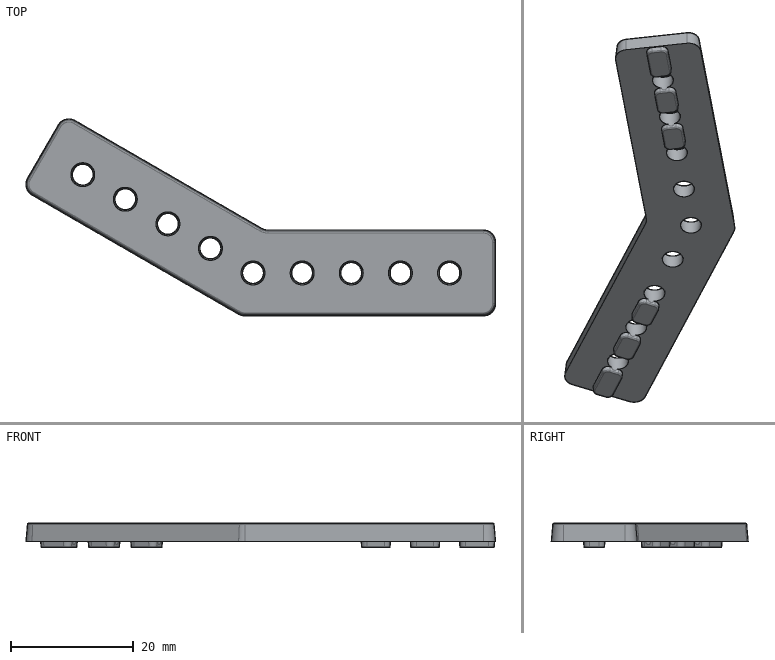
import cadquery as cq
import math

hole_pitch = 8.0
holes_per_arm = 4
arm_angle = 150.0
plate_width = 14.0
end_margin = 7.5
plate_thickness = 3.0
corner_radius = 2.0
wall_draft = 5.0
edge_fillet = 0.25

hole_top_radius = 1.95
hole_draft = 5.0

pad_height = 1.0
pad_width = 3.5
pad_corner_radius = 1.0
pad_hole_offset = 1.6
pad_end_inset = 0.15
pad_edge_fillet = 0.2
first_pad_hole = 2

arm_length = holes_per_arm * hole_pitch + end_margin
half_width = plate_width / 2
arm_directions = [0.0, arm_angle]


def arm_point(direction, along, left):
    """Point given by its distance along an arm and to the left of its axis."""
    angle = math.radians(direction)
    x = along * math.cos(angle) - left * math.sin(angle)
    y = along * math.sin(angle) + left * math.cos(angle)
    return (x, y)


def make_plate():
    bend_shift = half_width / math.tan(math.radians(arm_angle / 2))
    outline = [
        arm_point(0.0, -bend_shift, -half_width),
        arm_point(0.0, arm_length, -half_width),
        arm_point(0.0, arm_length, half_width),
        arm_point(0.0, bend_shift, half_width),
        arm_point(arm_angle, arm_length, -half_width),
        arm_point(arm_angle, arm_length, half_width),
    ]
    profile = cq.Sketch().polygon(outline + outline[:1]).vertices().fillet(corner_radius)
    plate = cq.Workplane("XY").placeSketch(profile).extrude(plate_thickness, taper=wall_draft)
    return plate.faces(">Z").edges().fillet(edge_fillet)


def make_pad(direction, start, end):
    """Tapered pad on the axis of an arm, hanging below the plate."""
    pad = (
        cq.Workplane("XY")
        .center((start + end) / 2, 0)
        .sketch()
        .rect(end - start, pad_width)
        .vertices()
        .fillet(pad_corner_radius)
        .finalize()
        .extrude(-pad_height, taper=wall_draft)
        .faces("<Z")
        .edges()
        .fillet(pad_edge_fillet)
    )
    return pad.rotate((0, 0, 0), (0, 0, 1), direction)


def add_pads(body):
    for direction in arm_directions:
        for hole in range(first_pad_hole, holes_per_arm + 1):
            start = hole * hole_pitch + pad_hole_offset
            end = (hole + 1) * hole_pitch - pad_hole_offset
            if hole == holes_per_arm:
                end = arm_length - pad_end_inset
            body = body.union(make_pad(direction, start, end))
    return body


def cut_holes(body):
    depth = plate_thickness + pad_height
    bottom_radius = hole_top_radius - depth * math.tan(math.radians(hole_draft))
    centres = [(0.0, 0.0)]
    for direction in arm_directions:
        for hole in range(1, holes_per_arm + 1):
            centres.append(arm_point(direction, hole * hole_pitch, 0.0))
    for x, y in centres:
        cone = cq.Solid.makeCone(bottom_radius, hole_top_radius, depth, cq.Vector(x, y, -pad_height))
        body = body.cut(cq.Workplane(obj=cone))
    return body


result = cut_holes(add_pads(make_plate()))